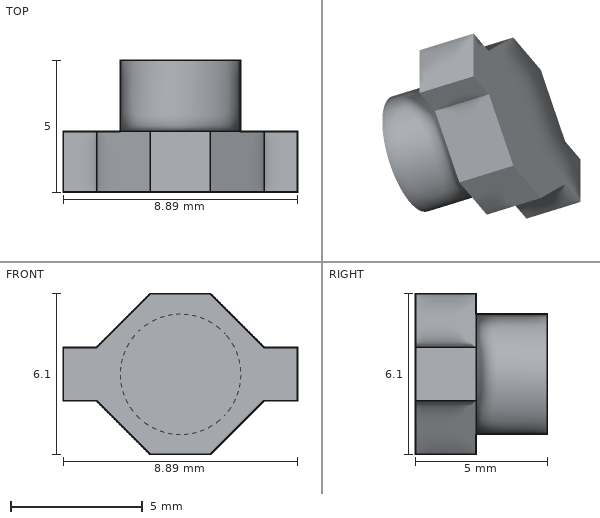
import cadquery as cq

total_width = 8.89
total_depth = 5.0
flange_thickness = 2.3
boss_diameter = 4.572

tab_length = 1.27
tab_height = 2.032
corner_cut = 2.032

body_width = total_width - 2 * tab_length
body_height = tab_height + 2 * corner_cut
boss_length = total_depth - flange_thickness


def make_body():
    """Octagonal body centred on the Y axis, front face at Y = 0."""
    return (
        cq.Workplane("XY")
        .box(body_width, flange_thickness, body_height, centered=(True, False, True))
        .edges("|Y")
        .chamfer(corner_cut)
    )


def make_tabs():
    """Bar through the body whose ends form the two side tabs."""
    return cq.Workplane("XY").box(
        total_width, flange_thickness, tab_height, centered=(True, False, True)
    )


def make_boss():
    """Round boss standing on the back face of the flange, towards +Y."""
    return (
        cq.Workplane("XZ", origin=(0, flange_thickness, 0))
        .circle(boss_diameter / 2)
        .extrude(-boss_length)
    )


flange = make_body().union(make_tabs()).clean()
result = flange.union(make_boss())